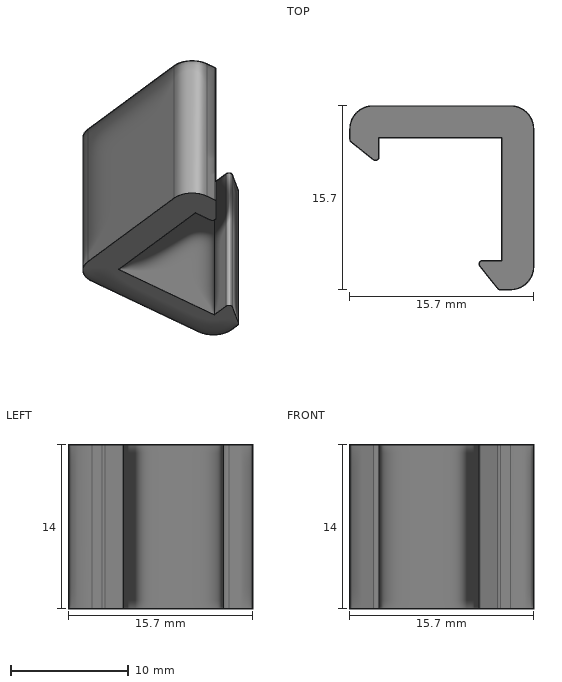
import cadquery as cq

side = 15.7
height = 14.0
wall = 2.75
hook_width = 2.5
flank_start = 3.0
flank_end = 5.0
corner_radius = 2.0
edge_radius = 0.3

half = side / 2
hook_inner = -half + hook_width
arm_inner = half - wall

upper_hook = [
    (-half, half - flank_start),
    (hook_inner, half - flank_end),
    (hook_inner, arm_inner),
]
lower_hook = [(y, x) for x, y in reversed(upper_hook)]
outer_corners = [(half, -half), (half, half), (-half, half)]
inner_corner = (arm_inner, arm_inner)

outline = upper_hook + [inner_corner] + lower_hook + outer_corners
body = cq.Workplane("XY").polyline(outline).close().extrude(height)


def round_edges(solid, points, radius):
    """Fillet the vertical edges standing at the given profile points."""
    middle = height / 2
    edges = solid.newObject([])
    for x, y in points:
        edges = edges.add(solid.edges(cq.NearestToPointSelector((x, y, middle))))
    return edges.fillet(radius)


body = round_edges(body, outer_corners, corner_radius)
result = round_edges(body, upper_hook[:2] + lower_hook[1:], edge_radius)